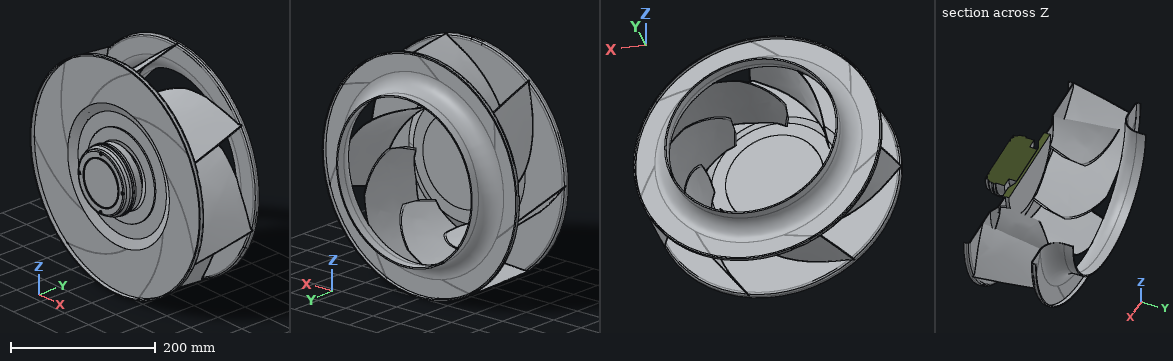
import cadquery as cq
import math


SHEET = 2.0
RIM_RADIUS = 355.5 / 2
BEND_RADIUS = 4.3

PLATE_BACK = 8.5
PLATE_FRONT = PLATE_BACK - SHEET
DISH_DEPTH = 6.8
DISH_OUTER_RADIUS = 106.0
DISH_FLOOR_RADIUS = 92.2
FLOOR_FRONT = PLATE_FRONT + DISH_DEPTH
FLOOR_BACK = FLOOR_FRONT + SHEET

SHROUD_FRONT = 101.0
SHROUD_RIM_BACK = 109.0
SHROUD_BACK = SHROUD_FRONT + SHEET
INLET_RADIUS = 124.0
INLET_END = 141.0
BELL_OUTER_ARC = 24.5
BELL_INNER_ARC = BELL_OUTER_ARC + SHEET
BELL_CENTER_RADIUS = INLET_RADIUS + BELL_OUTER_ARC
BELL_CENTER_Y = SHROUD_FRONT + BELL_INNER_ARC

BLADE_COUNT = 7
BLADE_THICKNESS = 1.0
BLADE_TIP_RADIUS = RIM_RADIUS + 0.5
BLADE_LINE_AT_PLATE = [(-181.5, 3.2), (-152.7, -29.2), (-17.8, -82.0)]
BLADE_LINE_AT_SHROUD = [(-181.5, -21.5), (-147.5, -52.0), (-7.0, -95.5)]
LEADING_EDGE_BOTTOM_RADIUS = 86.5
LEADING_EDGE_BEND = (88.3, 50.0)
LEADING_EDGE_TOP_RADIUS = 117.5

ROTOR_RADIUS = 70.0
ROTOR_FRONT = FLOOR_FRONT - 2.5
ROTOR_BACK = FLOOR_BACK + 5.5
FUNNEL_RADIUS = 51.5
FUNNEL_FLOOR_RADIUS = 39.0
FUNNEL_FLOOR = ROTOR_FRONT + 5.5

NECK_RADIUS = 50.5
NECK_BACK = 5.0
SPIGOT_RADIUS = 35.5
COLLAR_RADIUS = 52.5
COLLAR_BACK = -8.0
COLLAR_STEP = -11.0
COLLAR_FRONT_RADIUS = 52.3
COLLAR_FRONT = -13.5
SHOULDER_RADIUS = 51.5
SHOULDER_FRONT = -17.8
NOSE_RADIUS = 48.0
NOSE_BACK = -21.0
NOSE_FRONT = -26.5
NOSE_CHAMFER_LENGTH = 0.7
NOSE_CHAMFER_WIDTH = 2.0
FACE_GROOVE_RADIUS = 36.3
FACE_GROOVE_WIDTH = 1.5
FACE_GROOVE_DEPTH = 1.0
FACE_HOLE_COUNT = 4
FACE_HOLE_RADIUS = 2.5
FACE_HOLE_CIRCLE_RADIUS = 44.5
FACE_HOLE_DEPTH = 2.0


def turned(profile):
    """Revolve a closed (radius, y) profile about the Y axis."""
    return profile.close().revolve(360, (0, 0, 0), (0, 1, 0))


def arc_points(center, radius, *degrees):
    """Points on a circle at the given angles, measured from the radial direction towards +Y."""
    angles = [math.radians(degree) for degree in degrees]
    return [(center[0] + radius * math.cos(a), center[1] + radius * math.sin(a)) for a in angles]


def make_back_plate():
    """Dished sheet disc with its rim bent forwards and a hole for the rotor."""
    bend_center = (RIM_RADIUS - BEND_RADIUS, PLATE_BACK - BEND_RADIUS)
    return turned(
        cq.Workplane("XY")
        .moveTo(ROTOR_RADIUS, FLOOR_FRONT)
        .lineTo(DISH_FLOOR_RADIUS, FLOOR_FRONT)
        .lineTo(DISH_OUTER_RADIUS, PLATE_FRONT)
        .lineTo(RIM_RADIUS - SHEET, PLATE_FRONT)
        .lineTo(RIM_RADIUS - SHEET, 0)
        .lineTo(RIM_RADIUS, 0)
        .lineTo(RIM_RADIUS, bend_center[1])
        .threePointArc(*arc_points(bend_center, BEND_RADIUS, 45, 90))
        .lineTo(DISH_OUTER_RADIUS, PLATE_BACK)
        .lineTo(DISH_FLOOR_RADIUS, FLOOR_BACK)
        .lineTo(ROTOR_RADIUS, FLOOR_BACK)
    )


def make_shroud():
    """Sheet ring with its rim bent backwards and a bell mouth that leads into the inlet collar."""
    bend_center = (RIM_RADIUS - BEND_RADIUS, SHROUD_FRONT + BEND_RADIUS)
    bell_center = (BELL_CENTER_RADIUS, BELL_CENTER_Y)
    return turned(
        cq.Workplane("XY")
        .moveTo(INLET_RADIUS - SHEET, INLET_END)
        .lineTo(INLET_RADIUS - SHEET, BELL_CENTER_Y)
        .threePointArc(*arc_points(bell_center, BELL_INNER_ARC, 225, 270))
        .lineTo(bend_center[0], SHROUD_FRONT)
        .threePointArc(*arc_points(bend_center, BEND_RADIUS, -45, 0))
        .lineTo(RIM_RADIUS, SHROUD_RIM_BACK)
        .lineTo(RIM_RADIUS - SHEET, SHROUD_RIM_BACK)
        .lineTo(RIM_RADIUS - SHEET, SHROUD_BACK)
        .lineTo(BELL_CENTER_RADIUS, SHROUD_BACK)
        .threePointArc(*arc_points(bell_center, BELL_OUTER_ARC, 225, 180))
        .lineTo(INLET_RADIUS, INLET_END)
    )


def blade_section(blade_line, y):
    """Strip of the blade thickness at the given y, smooth from its straight stretch into its arc."""
    tip, arc_start, arc_end = [cq.Vector(x, y, z) for x, z in blade_line]
    along = (arc_start - tip).normalized()
    across = cq.Vector(0, 1, 0).cross(along) * -1
    chord = arc_end - arc_start
    radius = chord.dot(chord) / (2 * chord.dot(across))
    center = arc_start + across * radius

    def side(offset):
        """Points on one side of the blade: two on the straight stretch, then three on the arc."""
        start_arm = (arc_start - center).normalized()
        end_arm = (arc_end - center).normalized()
        middle = center + (start_arm + end_arm).normalized() * (radius + offset)
        return [
            tip - across * offset,
            (tip + arc_start) * 0.5 - across * offset,
            arc_start - across * offset,
            middle,
            center + end_arm * (radius + offset),
        ]

    outer = side(BLADE_THICKNESS / 2)
    inner = side(-BLADE_THICKNESS / 2)
    return cq.Wire.assembleEdges(
        [
            cq.Edge.makeSpline(outer),
            cq.Edge.makeLine(outer[-1], inner[-1]),
            cq.Edge.makeSpline(inner[::-1]),
            cq.Edge.makeLine(inner[0], outer[0]),
        ]
    )


def make_blade():
    """Skewed blade from the plate to the shroud, trimmed at its tip and leading edge."""
    sections = [
        blade_section(BLADE_LINE_AT_PLATE, PLATE_FRONT),
        blade_section(BLADE_LINE_AT_SHROUD, SHROUD_BACK),
    ]
    blade = cq.Workplane(cq.Solid.makeLoft(sections, True))

    tip_cylinder = turned(
        cq.Workplane("XY")
        .lineTo(BLADE_TIP_RADIUS, 0)
        .lineTo(BLADE_TIP_RADIUS, INLET_END)
        .lineTo(0, INLET_END)
    )
    leading_edge_core = turned(
        cq.Workplane("XY")
        .lineTo(LEADING_EDGE_BOTTOM_RADIUS, 0)
        .lineTo(*LEADING_EDGE_BEND)
        .tangentArcPoint((LEADING_EDGE_TOP_RADIUS, SHROUD_BACK), relative=False)
        .lineTo(0, SHROUD_BACK)
    )
    dish_space = turned(
        cq.Workplane("XY")
        .lineTo(DISH_OUTER_RADIUS, 0)
        .lineTo(DISH_OUTER_RADIUS, PLATE_FRONT + SHEET / 2)
        .lineTo(DISH_FLOOR_RADIUS, FLOOR_FRONT + SHEET / 2)
        .lineTo(0, FLOOR_FRONT + SHEET / 2)
    )
    return blade.intersect(tip_cylinder).cut(leading_edge_core).cut(dish_space)


def make_impeller():
    impeller = make_back_plate()
    blade = make_blade()
    for index in range(BLADE_COUNT):
        placed_blade = blade.rotate((0, 0, 0), (0, 1, 0), index * 360 / BLADE_COUNT)
        impeller = impeller.union(placed_blade, clean=False)
    return impeller.union(make_shroud(), clean=False)


def make_rotor():
    """Disc in the hole of the back plate, with a funnel-shaped recess facing the stator."""
    return turned(
        cq.Workplane("XY")
        .moveTo(0, FUNNEL_FLOOR)
        .lineTo(FUNNEL_FLOOR_RADIUS, FUNNEL_FLOOR)
        .lineTo(FUNNEL_RADIUS, ROTOR_FRONT)
        .lineTo(ROTOR_RADIUS, ROTOR_FRONT)
        .lineTo(ROTOR_RADIUS, ROTOR_BACK)
        .lineTo(0, ROTOR_BACK)
    )


def make_stator():
    """Stepped round housing with a spigot that stands on the funnel floor of the rotor."""
    body = turned(
        cq.Workplane("XY")
        .moveTo(0, FUNNEL_FLOOR)
        .lineTo(SPIGOT_RADIUS, FUNNEL_FLOOR)
        .lineTo(SPIGOT_RADIUS, NECK_BACK)
        .lineTo(NECK_RADIUS, NECK_BACK)
        .lineTo(NECK_RADIUS, COLLAR_BACK)
        .lineTo(COLLAR_RADIUS, COLLAR_BACK)
        .lineTo(COLLAR_RADIUS, COLLAR_STEP)
        .lineTo(COLLAR_FRONT_RADIUS, COLLAR_STEP)
        .lineTo(COLLAR_FRONT_RADIUS, COLLAR_FRONT)
        .lineTo(SHOULDER_RADIUS, COLLAR_FRONT)
        .lineTo(SHOULDER_RADIUS, SHOULDER_FRONT)
        .lineTo(NOSE_RADIUS, NOSE_BACK)
        .lineTo(NOSE_RADIUS, NOSE_FRONT + NOSE_CHAMFER_LENGTH)
        .lineTo(NOSE_RADIUS - NOSE_CHAMFER_WIDTH, NOSE_FRONT)
        .lineTo(0, NOSE_FRONT)
    )

    face = cq.Workplane("XZ", origin=(0, NOSE_FRONT, 0))
    groove = (
        face.circle(FACE_GROOVE_RADIUS + FACE_GROOVE_WIDTH / 2)
        .circle(FACE_GROOVE_RADIUS - FACE_GROOVE_WIDTH / 2)
        .extrude(-FACE_GROOVE_DEPTH)
    )
    holes = (
        face.polarArray(FACE_HOLE_CIRCLE_RADIUS, 0, 360, FACE_HOLE_COUNT)
        .circle(FACE_HOLE_RADIUS)
        .extrude(-FACE_HOLE_DEPTH)
    )
    return body.cut(groove).cut(holes)


impeller = make_impeller()
rotor = make_rotor()
stator = make_stator()

result = cq.Compound.makeCompound([impeller.val(), rotor.val(), stator.val()])